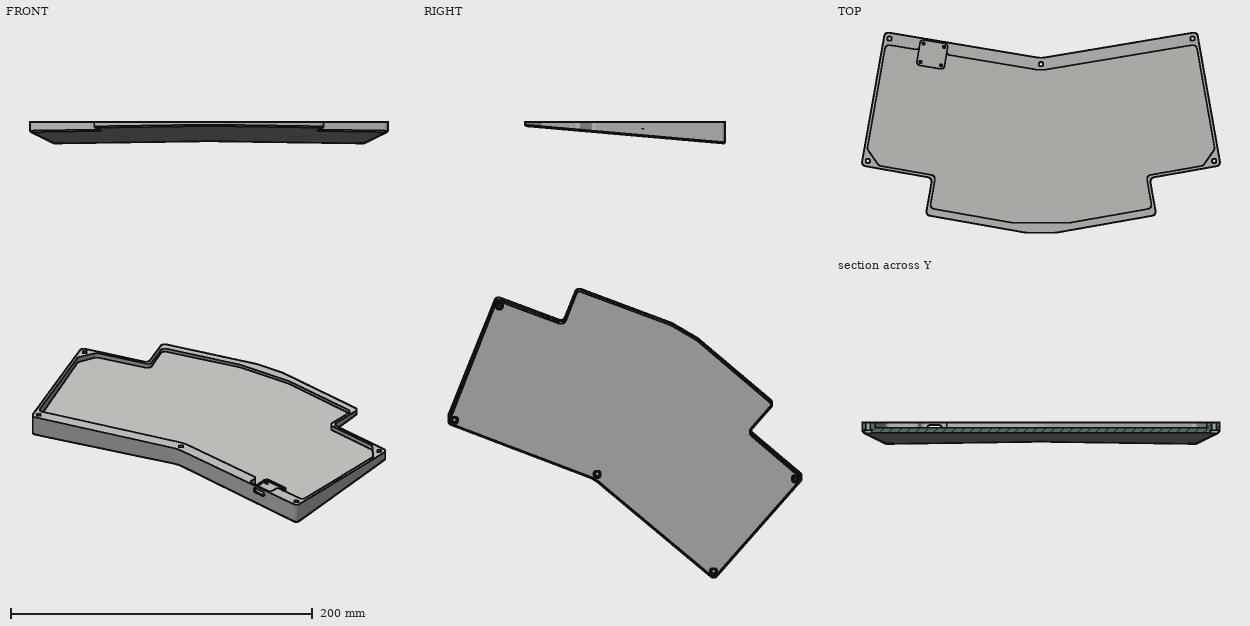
import cadquery as cq
import math

WING_ANGLE = 10.0
REAR_ANGLE = 9.5
UNDERSIDE_SLOPE = 5.0
FLOOR_SLOPE = 2.0
SPINE_THICKNESS = 13.0
BOTTOM_CHAMFER = 1.0

SPINE_Y = 116.0
REAR_LENGTH = 105.0
SIDE_LENGTH = 90.0
SHOULDER_LENGTH = 47.7
NOTCH_DEPTH = 25.0
CORNER_RADIUS = 2.8
BEND_RADIUS = 19.0

REAR_RIM = 8.0
SIDE_RIM = 2.0
FRONT_RIM = 5.0
NOSE_RIM = 6.6
CORNER_CUT = 9.5
TRAY_SPINE_DEPTH = 6.0

SCREW_DIAMETER = 2.8
SCREW_HEAD_DIAMETER = 5.0
SCREW_HEAD_DEPTH = 2.0
SCREW_INSET = 3.8
SPINE_SCREW_INSET = 4.0

BOARD_WIDTH = 18.5
BOARD_LENGTH = 17.0
BOARD_CENTRE = 33.5
BOARD_WALL = 1.0
BOARD_DEPTH = 7.1
BOARD_CORNER_RADIUS = 2.4
BOARD_ENTRY_RADIUS = 2.0
BOARD_HOLE_DIAMETER = 1.62
BOARD_HOLE_DEPTH = 2.0
BOARD_HOLE_SPACING = (13.8, 12.4)
SLOT_WIDTH = 9.5
SLOT_HEIGHT = 3.3
SLOT_DEPTH = 3.5

REAR_CORNER = (
    -REAR_LENGTH * math.cos(math.radians(REAR_ANGLE)),
    SPINE_Y + REAR_LENGTH * math.sin(math.radians(REAR_ANGLE)),
)
TALL = 47.5
WIDE = 475.0
MIDDLE = 23.8


def turned_point(along, forward, angle):
    """Point reached from the left rear corner along a line turned clockwise, then forwards from it."""
    turn = math.radians(angle)
    return (
        REAR_CORNER[0] + along * math.cos(turn) - forward * math.sin(turn),
        REAR_CORNER[1] - along * math.sin(turn) - forward * math.cos(turn),
    )


def wing_point(along, forward):
    """Point of the left wing, measured across and along its side edge."""
    return turned_point(along, forward, WING_ANGLE)


def rear_point(along, forward):
    """Point measured along the left rear edge and forwards from it."""
    return turned_point(along, forward, REAR_ANGLE)


def nose_point(start, y):
    """Where the front edge of the wing, running on from start, reaches the given Y."""
    return (start[0] + (start[1] - y) / math.tan(math.radians(WING_ANGLE)), y)


def symmetric_prism(left_points):
    """Downward prism on a left half outline and its mirror image; a point at X = 0 comes first."""
    mirrored = [(-x, y) for x, y in reversed(left_points) if x != 0]
    return cq.Workplane("XY").polyline(left_points + mirrored).close().extrude(-TALL)


def round_corners(prism):
    """Round the shallow bends near the centre line and the corners of the wings."""
    upright = cq.selectors.ParallelDirSelector(cq.Vector(0, 0, 1))
    middle = cq.selectors.BoxSelector((-MIDDLE, -WIDE, -WIDE), (MIDDLE, WIDE, WIDE))
    prism = prism.edges(upright - middle).fillet(CORNER_RADIUS)
    return prism.edges(upright & middle).fillet(BEND_RADIUS)


def slope_z(y, spine_depth, slope):
    """Height at the given Y of a plane that drops towards the back, at spine_depth under the spine."""
    return -spine_depth - (y - SPINE_Y) * math.tan(math.radians(slope))


def above_slope(spine_depth, slope):
    """Everything above such a sloping plane."""
    profile = [
        (-WIDE, slope_z(-WIDE, spine_depth, slope)),
        (WIDE, slope_z(WIDE, spine_depth, slope)),
        (WIDE, TALL),
        (-WIDE, TALL),
    ]
    return cq.Workplane("YZ").polyline(profile).close().extrude(WIDE, both=True)


def make_case():
    toe = wing_point(SHOULDER_LENGTH, SIDE_LENGTH + NOTCH_DEPTH)
    outline = [
        (0, SPINE_Y),
        REAR_CORNER,
        wing_point(0, SIDE_LENGTH),
        wing_point(SHOULDER_LENGTH, SIDE_LENGTH),
        toe,
        nose_point(toe, 0),
    ]
    blank = round_corners(symmetric_prism(outline))
    blank = blank.intersect(above_slope(SPINE_THICKNESS, UNDERSIDE_SLOPE))
    return blank.faces("<Z").chamfer(BOTTOM_CHAMFER)


def make_tray():
    shoulder = SIDE_LENGTH - SIDE_RIM
    notch = SHOULDER_LENGTH + SIDE_RIM
    toe = wing_point(notch, SIDE_LENGTH + NOTCH_DEPTH - FRONT_RIM)
    skew = math.radians(WING_ANGLE - REAR_ANGLE)
    rear_end = REAR_RIM / math.cos(skew) - SIDE_RIM * math.tan(skew)
    outline = [
        (0, SPINE_Y - REAR_RIM / math.cos(math.radians(REAR_ANGLE))),
        wing_point(SIDE_RIM, rear_end),
        wing_point(SIDE_RIM, shoulder - CORNER_CUT),
        wing_point(SIDE_RIM + CORNER_CUT, shoulder),
        wing_point(notch, shoulder),
        toe,
        nose_point(toe, NOSE_RIM),
    ]
    tray = round_corners(symmetric_prism(outline))
    return tray.intersect(above_slope(TRAY_SPINE_DEPTH, FLOOR_SLOPE))


def board_plane():
    """Level plane over the board centre, with X along the rear edge and Y towards the back."""
    x, y = rear_point(BOARD_CENTRE, BOARD_WALL + BOARD_LENGTH / 2)
    return cq.Workplane("XY", origin=(x, y, 0)).transformed(rotate=(0, 0, -REAR_ANGLE))


def make_board_recess():
    level = board_plane()
    recess = level.rect(BOARD_WIDTH, BOARD_LENGTH).extrude(-BOARD_DEPTH)
    recess = recess.edges("|Z").fillet(BOARD_CORNER_RADIUS)
    holes = (
        level.rect(*BOARD_HOLE_SPACING, forConstruction=True)
        .vertices()
        .circle(BOARD_HOLE_DIAMETER / 2)
        .extrude(-BOARD_DEPTH - BOARD_HOLE_DEPTH)
    )
    return recess.union(holes)


def make_hollow():
    """Tray and board recess together, with the corners where their walls meet rounded."""
    hollow = make_tray().union(make_board_recess())
    for side in (-1, 1):
        x, y = rear_point(BOARD_CENTRE + side * BOARD_WIDTH / 2, REAR_RIM)
        entry = cq.selectors.NearestToPointSelector((x, y, -BOARD_DEPTH / 2))
        hollow = hollow.edges("|Z").edges(entry).fillet(BOARD_ENTRY_RADIUS)
    return hollow


def make_connector_slot():
    upright = board_plane().transformed(rotate=(90, 0, 0), offset=(0, 0, -SLOT_DEPTH))
    return upright.slot2D(SLOT_WIDTH, SLOT_HEIGHT).extrude(-BOARD_LENGTH)


def make_screw_hole(centre):
    hole = cq.Workplane("XY").center(*centre).circle(SCREW_DIAMETER / 2).extrude(-TALL)
    underside = slope_z(centre[1], SPINE_THICKNESS, UNDERSIDE_SLOPE)
    head = (
        cq.Workplane("XY", origin=(*centre, underside + SCREW_HEAD_DEPTH))
        .circle(SCREW_HEAD_DIAMETER / 2)
        .extrude(-TALL)
    )
    return hole.union(head)


left_screws = [
    wing_point(SCREW_INSET, SCREW_INSET),
    wing_point(SCREW_INSET, SIDE_LENGTH - SCREW_INSET),
]
right_screws = [(-x, y) for x, y in left_screws]
spine_screw = (0, SPINE_Y - SPINE_SCREW_INSET)

result = make_case().cut(make_hollow())
result = result.cut(make_connector_slot())
for screw in left_screws + right_screws + [spine_screw]:
    result = result.cut(make_screw_hole(screw))